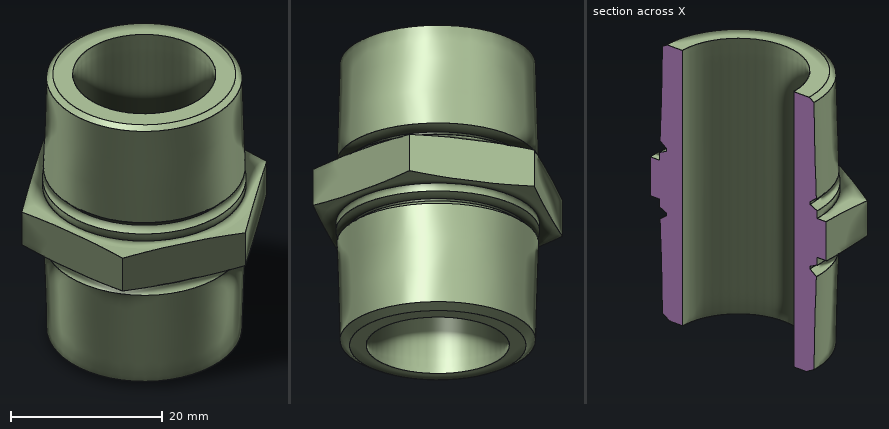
import cadquery as cq
import math

length = 41.0
across_flats = 30.0
across_corners = across_flats / math.cos(math.radians(30))
bore_radius = 9.47

hex_height = 5.85
hex_face_radius = 15.3
hex_corner_drop = 0.33

collar_radius = 13.5
collar_end = 4.05
groove_radius = 12.25
groove_start = 4.65
groove_end = 4.95
taper_start = 5.8
taper_base_radius = 13.35
taper_tip_radius = 12.95
end_chamfer_angle = 30
top_chamfer_height = 0.5
bottom_chamfer_height = 0.75


def make_half_body(chamfer_height):
    """Revolve one end of the fitting, running up from the middle plane."""
    half_length = length / 2
    chamfer_width = chamfer_height / math.tan(math.radians(end_chamfer_angle))
    profile = [
        (0, 0),
        (collar_radius, 0),
        (collar_radius, collar_end),
        (groove_radius, groove_start),
        (groove_radius, groove_end),
        (taper_base_radius, taper_start),
        (taper_tip_radius, half_length - chamfer_height),
        (taper_tip_radius - chamfer_width, half_length),
        (0, half_length),
    ]
    return cq.Workplane("XZ").polyline(profile).close().revolve(360, (0, 0), (0, 1))


def make_hexagon():
    """Hexagon with corners on the X axis, its corners trimmed by shallow cones."""
    half_height = hex_height / 2
    corner_radius = across_corners / 2
    corner_height = half_height - hex_corner_drop
    prism = (
        cq.Workplane("XY")
        .polygon(6, across_corners)
        .extrude(half_height, both=True)
    )
    reach = 0.8
    cone_slope = hex_corner_drop / (corner_radius - hex_face_radius)
    rim_height = corner_height - reach * cone_slope
    envelope = (
        cq.Workplane("XZ")
        .polyline([
            (0, -half_height),
            (hex_face_radius, -half_height),
            (corner_radius + reach, -rim_height),
            (corner_radius + reach, rim_height),
            (hex_face_radius, half_height),
            (0, half_height),
        ])
        .close()
        .revolve(360, (0, 0), (0, 1))
    )
    return prism.intersect(envelope)


top_end = make_half_body(top_chamfer_height)
bottom_end = make_half_body(bottom_chamfer_height).mirror("XY")
bore = cq.Workplane("XY").circle(bore_radius).extrude(length / 2, both=True)

result = top_end.union(bottom_end).union(make_hexagon()).cut(bore)